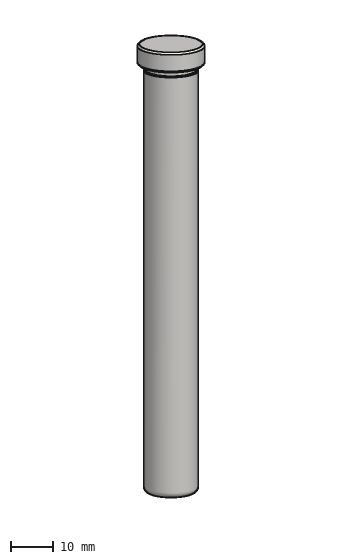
import cadquery as cq

OVERALL_LENGTH = 110.0
HEAD_DIAMETER = 16.0
HEAD_HEIGHT = 5.0
HEAD_CHAMFER = 0.5
SHANK_DIAMETER = 13.0
TIP_RADIUS = 1.5
NECK_DIAMETER = 12.4
NECK_LENGTH = 1.5

SHANK_LENGTH = OVERALL_LENGTH - HEAD_HEIGHT
NECK_DEPTH = (SHANK_DIAMETER - NECK_DIAMETER) / 2


def make_head():
    """Round head with both rims chamfered."""
    head = cq.Workplane("XY").circle(HEAD_DIAMETER / 2).extrude(HEAD_HEIGHT)
    return head.faces("<Z or >Z").edges().chamfer(HEAD_CHAMFER)


def make_neck():
    """Undercut neck joining the head to the shank."""
    return cq.Workplane("XY").circle(NECK_DIAMETER / 2).extrude(-NECK_LENGTH)


def make_shank():
    """Cylindrical shank with a 45 degree shoulder at the neck and a rounded tip."""
    shank = (
        cq.Workplane("XY")
        .workplane(offset=-SHANK_LENGTH)
        .circle(SHANK_DIAMETER / 2)
        .extrude(SHANK_LENGTH - NECK_LENGTH + NECK_DEPTH)
    )
    return shank.faces(">Z").edges().chamfer(NECK_DEPTH).faces("<Z").edges().fillet(TIP_RADIUS)


result = make_head().union(make_neck()).union(make_shank())